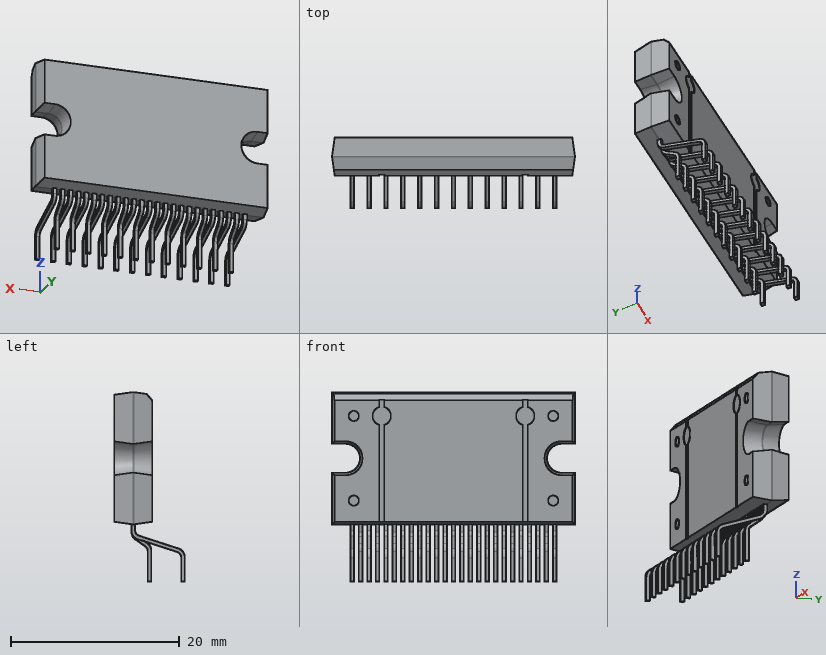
import cadquery as cq
import math


body_width = 28.8
body_height = 15.7
body_depth = 4.55
parting_band = 0.1
draft_angle = 8.0
chamfer_depth = 0.7
chamfer_drop = 0.7
half_depth = body_depth / 2
draft_depth = (body_depth - parting_band) / 2
draft_inset = draft_depth * math.tan(math.radians(draft_angle))
mid_height = body_height / 2

notch_radius = 1.7
notch_center_inset = 1.6

mark_depth = 0.1
pin_mark_diameter = 1.2
pin_mark_x = 11.8
mark_rise = 5.0
groove_x = 8.5
groove_width = 0.6
groove_disc_diameter = 2.2

lead_count = 25
lead_row_length = 24.0
lead_pitch = lead_row_length / (lead_count - 1)
lead_size = 0.45
lead_drop = 6.77
lead_root = 1.45
inner_bend_radius = 0.7
bend_radius = inner_bend_radius + lead_size / 2
long_reach = 5.9
long_start = 0.65
long_lean = 72.0
short_reach = 1.93
short_start = 0.84
short_lean = 55.0


def notched_outline():
    """Rim of the body at the parting plane, sketched so that extruding goes toward -Y."""
    edge_x = body_width / 2
    arc_x = edge_x - notch_center_inset
    notch_top = mid_height + notch_radius
    notch_bottom = mid_height - notch_radius
    return (
        cq.Workplane("XZ")
        .moveTo(-edge_x, 0)
        .lineTo(edge_x, 0)
        .lineTo(edge_x, notch_bottom)
        .lineTo(arc_x, notch_bottom)
        .threePointArc((arc_x - notch_radius, mid_height), (arc_x, notch_top))
        .lineTo(edge_x, notch_top)
        .lineTo(edge_x, body_height)
        .lineTo(-edge_x, body_height)
        .lineTo(-edge_x, notch_top)
        .lineTo(-arc_x, notch_top)
        .threePointArc((notch_radius - arc_x, mid_height), (-arc_x, notch_bottom))
        .lineTo(-edge_x, notch_bottom)
        .close()
    )


def make_body():
    """Straight parting band with a drafted half on each side and a chamfered top edge."""
    band = notched_outline().extrude(parting_band / 2, both=True)
    drafted_half = notched_outline().extrude(draft_depth, taper=draft_angle)
    front_half = drafted_half.translate((0, -parting_band / 2, 0))
    body = band.union(front_half).union(front_half.mirror("XZ"))

    face_top = body_height - draft_inset
    chamfer_y = -half_depth + chamfer_depth
    chamfer_top = face_top + chamfer_depth * math.tan(math.radians(draft_angle))
    chamfer_wedge = (
        cq.Workplane("YZ")
        .moveTo(-half_depth, face_top - chamfer_drop)
        .lineTo(chamfer_y, chamfer_top)
        .lineTo(-half_depth, chamfer_top)
        .close()
        .extrude(body_width, both=True)
    )
    return body.cut(chamfer_wedge)


def make_marks():
    """Cutters for the four pin marks and the two grooves with their discs."""
    face = cq.Workplane("XZ", origin=(0, -half_depth + mark_depth, mid_height))
    pin_points = [(x, z) for x in (-pin_mark_x, pin_mark_x) for z in (-mark_rise, mark_rise)]
    groove_points = [(-groove_x, 0), (groove_x, 0)]
    disc_points = [(x, mark_rise) for x, _ in groove_points]
    pins = face.pushPoints(pin_points).circle(pin_mark_diameter / 2).extrude(mark_depth)
    grooves = face.pushPoints(groove_points).rect(groove_width, body_height).extrude(mark_depth)
    discs = face.pushPoints(disc_points).circle(groove_disc_diameter / 2).extrude(mark_depth)
    return pins.union(grooves).union(discs)


def make_lead(reach, start, lean_degrees):
    """One lead centred on X = 0, swept down from the body with an S bend toward -Y."""
    lean = math.radians(lean_degrees)
    half_lean = lean / 2
    bend_out = bend_radius * (1 - math.cos(lean))
    bend_fall = bend_radius * math.sin(lean)
    half_out = bend_radius * (1 - math.cos(half_lean))
    half_fall = bend_radius * math.sin(half_lean)
    bend_end = -start - reach / math.tan(lean) - 2 * bend_radius * math.tan(half_lean)
    path = (
        cq.Workplane("YZ")
        .moveTo(0, lead_root)
        .lineTo(0, -start)
        .threePointArc((-half_out, -start - half_fall), (-bend_out, -start - bend_fall))
        .lineTo(-reach + bend_out, bend_end + bend_fall)
        .threePointArc((-reach + half_out, bend_end + half_fall), (-reach, bend_end))
        .lineTo(-reach, -lead_drop)
    )
    section = cq.Workplane("XY", origin=(0, 0, lead_root)).rect(lead_size, lead_size)
    return section.sweep(path)


def add_leads(body):
    """Alternate long and short leads along X, starting and ending with a long one."""
    long_lead = make_lead(long_reach, long_start, long_lean)
    short_lead = make_lead(short_reach, short_start, short_lean)
    first_x = -lead_row_length / 2
    for index in range(lead_count):
        lead = long_lead if index % 2 == 0 else short_lead
        body = body.union(lead.translate((first_x + index * lead_pitch, 0, 0)))
    return body


result = add_leads(make_body().cut(make_marks()))